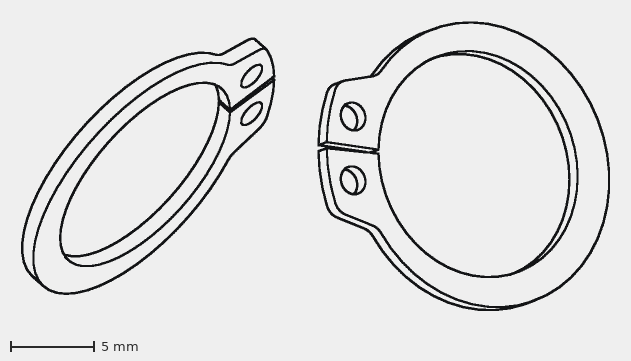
import cadquery as cq
import math

thickness = 1.0
bore_radius = 6.9
rim_radius = 8.7
rim_offset = 0.4
lug_tip_radius = 10.5
gap_half_angle = math.radians(1.0)

flank_y = 9.0
flank_z = 4.17
flank_slope = math.tan(math.radians(14.0))
lug_corner_radius = 1.0
lug_root_radius = 1.0

hole_diameter = 1.7
hole_y = 8.66
hole_z = 1.96

clearance = 1.0


def flank_height(y):
    """Z of the upper lug flank at a given Y."""
    return flank_z - flank_slope * (y - flank_y)


def flank_meets_tip():
    """Y where the upper flank meets the lug tip circle."""
    height_at_axis = flank_height(0)
    a = 1 + flank_slope**2
    half_b = flank_slope * height_at_axis
    c = height_at_axis**2 - lug_tip_radius**2
    return (half_b + math.sqrt(half_b**2 - a * c)) / a


def make_disc(radius, centre_y=0.0, centre_z=0.0):
    """Disc of the ring's thickness, centred on the YZ plane."""
    return (
        cq.Workplane("YZ")
        .center(centre_y, centre_z)
        .circle(radius)
        .extrude(thickness / 2, both=True)
    )


def make_lug_block():
    """Both lugs as one block, from the bore axis out to the tip circle, corners rounded."""
    corner_y = flank_meets_tip()
    corner_z = flank_height(corner_y)
    root_z = flank_height(0)
    block = (
        cq.Workplane("YZ")
        .moveTo(0, -root_z)
        .lineTo(corner_y, -corner_z)
        .threePointArc((lug_tip_radius, 0), (corner_y, corner_z))
        .lineTo(0, root_z)
        .close()
        .extrude(thickness / 2, both=True)
    )
    return block.edges("|X").edges(">Y").fillet(lug_corner_radius)


def round_lug_roots(body):
    """Fillet the two inside corners where the flanks leave the rim."""
    root_zone = cq.selectors.BoxSelector(
        (-thickness, bore_radius - clearance, -rim_radius),
        (thickness, flank_y - clearance, rim_radius),
    )
    return body.edges("|X").edges(root_zone).fillet(lug_root_radius)


def make_gap():
    """Narrow wedge, radial from the bore axis, that separates the lugs."""
    reach = lug_tip_radius + clearance
    half_width = reach * math.tan(gap_half_angle)
    return (
        cq.Workplane("YZ")
        .polyline([(0, 0), (reach, -half_width), (reach, half_width)])
        .close()
        .extrude(thickness / 2, both=True)
    )


body = make_disc(rim_radius, -rim_offset).union(make_lug_block())
body = round_lug_roots(body)
body = body.cut(make_disc(bore_radius)).cut(make_gap())
for side in (1, -1):
    body = body.cut(make_disc(hole_diameter / 2, hole_y, side * hole_z))

result = body